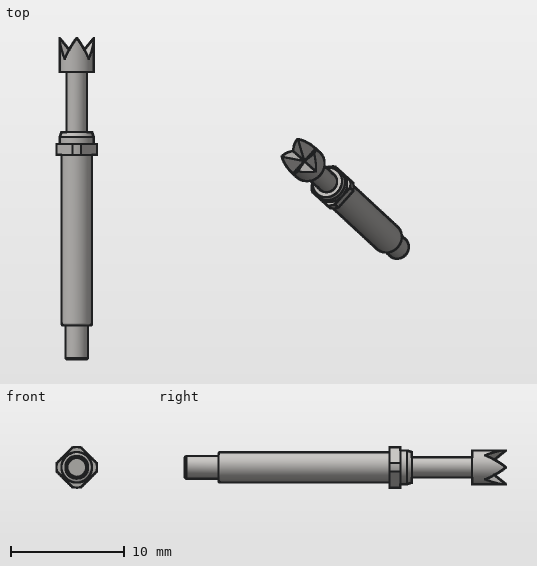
import cadquery as cq
import math


overall_length = 28.3
crown_length = 3.0
plunger_reach = 8.3
collar_length = 1.02
flange_length = 0.95
pin_length = 3.0

crown_diameter = 3.0
plunger_diameter = 1.8
collar_diameter = 3.0
flange_corner_diameter = 3.6
flange_across_flats = 3.0
barrel_diameter = 2.7
pin_diameter = 2.0

collar_taper_length = 0.42
collar_taper_depth = 0.15
barrel_fillet = 0.2
pin_chamfer = 0.17

groove_angle = 60.0

flange_front = flange_length
collar_face = flange_front + collar_length
tip = collar_face + plunger_reach
crown_base = tip - crown_length
pin_end = tip - overall_length
barrel_end = pin_end + pin_length


def cylinder(diameter, start, end):
    """Round bar on the Y axis between two stations, start < end."""
    plane = cq.Workplane("XZ", origin=(0, end, 0))
    return plane.circle(diameter / 2).extrude(end - start)


def make_crown():
    """Round head cut by two crossing V grooves, leaving points at +-X and +-Z."""
    crown = cylinder(crown_diameter, crown_base, tip)
    half_width = crown_diameter / 2 * math.sin(math.radians(45))
    depth = half_width / math.tan(math.radians(groove_angle / 2))
    tool_rise = 0.57
    tool_scale = (depth + tool_rise) / depth
    groove = (
        cq.Workplane("XY")
        .moveTo(0, tip - depth)
        .lineTo(half_width * tool_scale, tip + tool_rise)
        .lineTo(-half_width * tool_scale, tip + tool_rise)
        .close()
        .extrude(crown_diameter, both=True)
    )
    for angle in (45, -45):
        crown = crown.cut(groove.rotate((0, 0, 0), (0, 1, 0), angle))
    return crown


def make_collar():
    """Collar ahead of the flange, tapered at its front edge."""
    collar = cylinder(collar_diameter, flange_front, collar_face)
    return collar.faces(">Y").edges().chamfer(collar_taper_length, collar_taper_depth)


def make_flange():
    """Square flange set on its corners, with the corners turned round."""
    disc = cylinder(flange_corner_diameter, 0, flange_front)
    square = (
        cq.Workplane("XZ", origin=(0, flange_front, 0))
        .rect(flange_across_flats, flange_across_flats)
        .extrude(flange_length)
        .rotate((0, 0, 0), (0, 1, 0), 45)
    )
    return disc.intersect(square)


def make_barrel():
    """Long barrel behind the flange, with its rear edge rounded."""
    barrel = cylinder(barrel_diameter, barrel_end, 0)
    return barrel.faces("<Y").edges().fillet(barrel_fillet)


def make_pin():
    """Terminal pin with its rear edge chamfered."""
    pin = cylinder(pin_diameter, pin_end, barrel_end)
    return pin.faces("<Y").edges().chamfer(pin_chamfer)


plunger = cylinder(plunger_diameter, collar_face, crown_base)

result = make_crown()
for section in (plunger, make_collar(), make_flange(), make_barrel(), make_pin()):
    result = result.union(section)